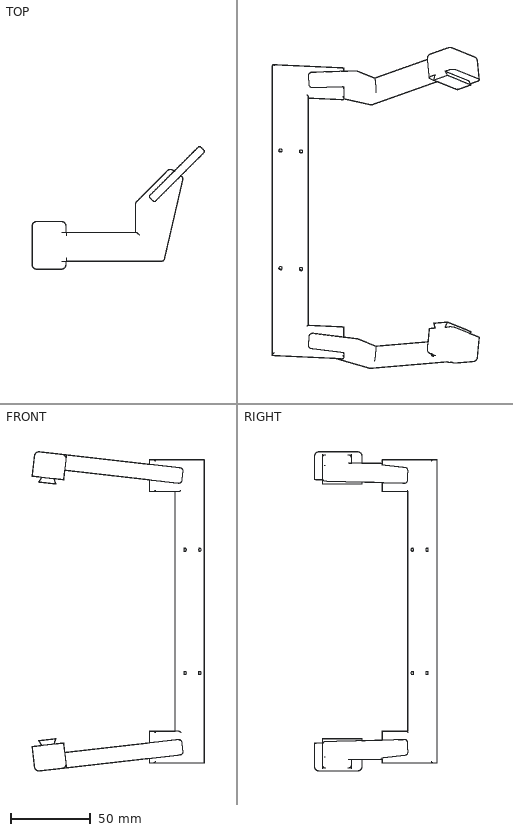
import cadquery as cq

FRAME_TURN = 45.0
FRAME_THICKNESS = 5.0
FRAME_HEIGHT = 190.3
FRAME_LEG_LENGTH = 45.0
FRAME_LEG_HEIGHT = 20.0
FRAME_BAR_WIDTH = 22.5
FRAME_OUTER_END = 63.7
FRAME_OFFSET = 11.0
FRAME_FILLET = 1.0

HOLE_DIAMETER = 2.0
HOLE_SPACING_ACROSS = 13.0
HOLE_SPACING_UP = 77.3

ARM_TILT = 6.5
ARM_ROOT_X = -32.9
ARM_ROOT_Z = 93.3
ARM_THICKNESS = 9.8
ARM_BACK_Y = -15.2
ARM_WIDTH = 18.2
ARM_BEND_INNER = 44.3
ARM_BEND_OUTER = 61.7
ARM_SHOULDER_LENGTH = 18.5
ARM_SLANT_RUN = 21.6
ARM_TIP_RUN = 8.0
ARM_TIP_DROP = 5.8
ARM_FILLET = 2.0

HEAD_LENGTH = 20.0
HEAD_WIDTH = 30.0
HEAD_HEIGHT = 15.8
HEAD_BACK_Y = -8.5
HEAD_FILLET = 3.0

RAIL_BASE_WIDTH = 8.0
RAIL_TIP_WIDTH = 10.8
RAIL_HEIGHT = 3.2

ARM_FRONT_Y = ARM_BACK_Y - ARM_WIDTH
ARM_TOP = ARM_THICKNESS / 2
HEAD_BOTTOM = ARM_TOP - HEAD_HEIGHT
RAIL_LENGTH = HEAD_BACK_Y - ARM_FRONT_Y


def make_frame():
    """C-shaped plate with its legs at the ends of an upright bar."""
    plate = cq.Workplane("XZ").box(FRAME_LEG_LENGTH, FRAME_HEIGHT, FRAME_THICKNESS)
    window = (
        cq.Workplane("XZ")
        .center(-FRAME_BAR_WIDTH, 0)
        .rect(FRAME_LEG_LENGTH, FRAME_HEIGHT - 2 * FRAME_LEG_HEIGHT)
        .extrude(FRAME_THICKNESS, both=True)
    )
    plate = plate.cut(window).edges("|X or |Z").fillet(FRAME_FILLET)
    holes = (
        cq.Workplane("XZ")
        .center((FRAME_LEG_LENGTH - FRAME_BAR_WIDTH) / 2, 0)
        .rect(HOLE_SPACING_ACROSS, HOLE_SPACING_UP, forConstruction=True)
        .vertices()
        .circle(HOLE_DIAMETER / 2)
        .extrude(FRAME_THICKNESS, both=True)
    )
    center_along = FRAME_OUTER_END - FRAME_LEG_LENGTH / 2
    return (
        plate.cut(holes)
        .translate((center_along, -FRAME_OFFSET, 0))
        .rotate((0, 0, 0), (0, 0, 1), FRAME_TURN)
    )


def make_bar():
    """Bent bar lying flat, rounded except at its root and inside the bend."""
    shoulder_y = ARM_BACK_Y + ARM_SHOULDER_LENGTH
    slant_end_x = ARM_BEND_INNER + ARM_SLANT_RUN
    slant_end_y = shoulder_y + ARM_SLANT_RUN
    outline = [
        (0, ARM_FRONT_Y),
        (ARM_BEND_OUTER, ARM_FRONT_Y),
        (slant_end_x + ARM_TIP_RUN, slant_end_y - ARM_TIP_DROP),
        (slant_end_x, slant_end_y),
        (ARM_BEND_INNER, shoulder_y),
        (ARM_BEND_INNER, ARM_BACK_Y),
        (0, ARM_BACK_Y),
    ]
    bar = (
        cq.Workplane("XY")
        .workplane(offset=-ARM_THICKNESS / 2)
        .polyline(outline)
        .close()
        .extrude(ARM_THICKNESS)
    )
    root_edges = cq.selectors.BoxSelector(
        (-ARM_FILLET, ARM_FRONT_Y - ARM_FILLET, -ARM_THICKNESS),
        (ARM_FILLET, ARM_BACK_Y + ARM_FILLET, ARM_THICKNESS),
    )
    bend_edge = cq.selectors.NearestToPointSelector((ARM_BEND_INNER, ARM_BACK_Y, 0))
    sharp_edges = root_edges + bend_edge
    return bar.edges(cq.StringSyntaxSelector("#Z or |Z") - sharp_edges).fillet(ARM_FILLET)


def make_head():
    """Block with rounded sides and top, joined to the bar by a flush tongue."""
    head = (
        cq.Workplane("XY")
        .box(HEAD_LENGTH, HEAD_WIDTH, HEAD_HEIGHT, centered=(False, False, False))
        .translate((-HEAD_LENGTH, HEAD_BACK_Y - HEAD_WIDTH, HEAD_BOTTOM))
        .edges("|Z or >Z")
        .fillet(HEAD_FILLET)
    )
    tongue = (
        cq.Workplane("XY")
        .box(HEAD_LENGTH - HEAD_FILLET, ARM_WIDTH, ARM_THICKNESS, centered=(False, False, True))
        .translate((HEAD_FILLET - HEAD_LENGTH, ARM_FRONT_Y, 0))
    )
    return head.union(tongue)


def make_rail():
    """Dovetail rail, wider at its free face, along Y under the head."""
    middle = -HEAD_LENGTH / 2
    tip_z = HEAD_BOTTOM - RAIL_HEIGHT
    section = [
        (middle - RAIL_BASE_WIDTH / 2, HEAD_BOTTOM),
        (middle + RAIL_BASE_WIDTH / 2, HEAD_BOTTOM),
        (middle + RAIL_TIP_WIDTH / 2, tip_z),
        (middle - RAIL_TIP_WIDTH / 2, tip_z),
    ]
    return (
        cq.Workplane("XZ", origin=(0, HEAD_BACK_Y, 0))
        .polyline(section)
        .close()
        .extrude(RAIL_LENGTH)
    )


def make_upper_arm():
    """Bar, head and rail as one solid, tilted and set in place."""
    return (
        make_bar()
        .union(make_head())
        .union(make_rail())
        .rotate((0, 0, 0), (0, 1, 0), ARM_TILT)
        .translate((ARM_ROOT_X, 0, ARM_ROOT_Z))
    )


upper_arm = make_upper_arm()
lower_arm = upper_arm.mirror("XY")
arms = [upper_arm, lower_arm]

frame = make_frame()
for arm in arms:
    frame = frame.cut(arm)

result = cq.Compound.makeCompound([body.solids().val() for body in (frame, *arms)])